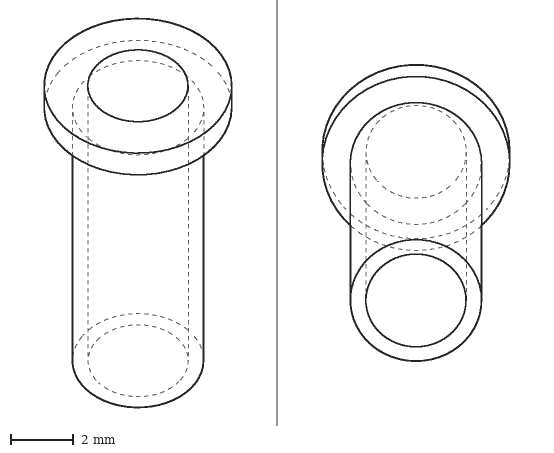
import cadquery as cq

total_height = 12.6
flange_diameter = 6.0
flange_thickness = 1.0
sleeve_diameter = 4.2
bore_diameter = 3.2

sleeve_height = total_height - flange_thickness

sleeve = cq.Workplane("XY").circle(sleeve_diameter / 2).extrude(sleeve_height)

flange = (
    cq.Workplane("XY")
    .workplane(offset=sleeve_height)
    .circle(flange_diameter / 2)
    .extrude(flange_thickness)
)

bore = cq.Workplane("XY").circle(bore_diameter / 2).extrude(total_height)

result = sleeve.union(flange).cut(bore)